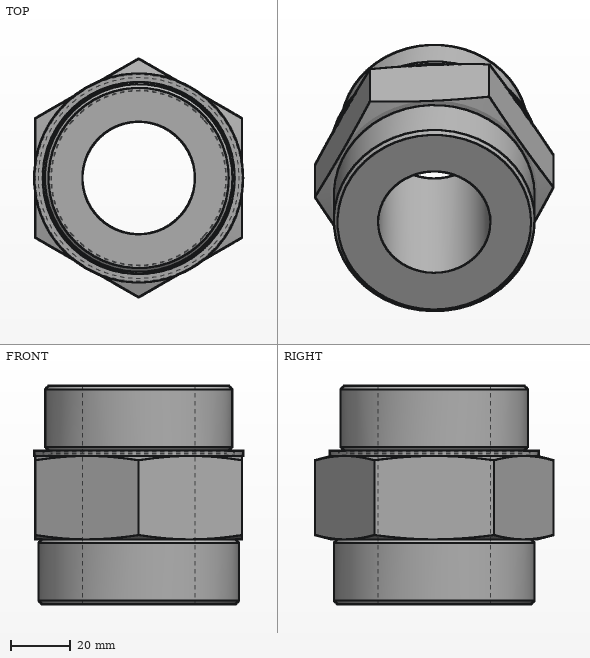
import cadquery as cq
import math

FULL_TURN = 360.0

TOTAL_HEIGHT = 74.0
HEX_BOTTOM = 22.0
COLLAR_BOTTOM = 50.2
COLLAR_TOP = 52.0

BORE_DIAMETER = 38.0
LOWER_DIAMETER = 68.0
UPPER_DIAMETER = 63.5
COLLAR_DIAMETER = 70.8
HEX_ACROSS_FLATS = 70.0
HEX_SIDES = 6

LOWER_CHAMFER = 1.25
UPPER_CHAMFER = 1.25

HEX_CHAMFER_ANGLE = 15.0

SEAL_OUTER_DIAMETER = 65.0
NECK_DIAMETER = 59.0
NECK_TAPER_CLEARANCE = 1.3
NECK_TAPER_TOP = COLLAR_TOP + NECK_TAPER_CLEARANCE


def make_upper_end():
    """Upper end with a chamfered rim and a tapered neck running into the seal groove."""
    radius = UPPER_DIAMETER / 2
    neck_radius = NECK_DIAMETER / 2
    neck_taper = radius - neck_radius
    profile = [
        (0, HEX_BOTTOM),
        (neck_radius, HEX_BOTTOM),
        (neck_radius, NECK_TAPER_TOP - neck_taper),
        (radius, NECK_TAPER_TOP),
        (radius, TOTAL_HEIGHT - UPPER_CHAMFER),
        (radius - UPPER_CHAMFER, TOTAL_HEIGHT),
        (0, TOTAL_HEIGHT),
    ]
    return cq.Workplane("XZ").polyline(profile).close().revolve(FULL_TURN, (0, 0), (0, 1))


def make_lower_end():
    """Lower end, chamfered at its free rim and where it meets the hexagon."""
    end = cq.Workplane("XY").circle(LOWER_DIAMETER / 2).extrude(HEX_BOTTOM)
    return end.edges("%CIRCLE").chamfer(LOWER_CHAMFER)


def make_hexagon():
    """Hexagon with flats facing +X and -X and its corners turned off at both ends."""
    corner_diameter = HEX_ACROSS_FLATS / math.cos(math.pi / HEX_SIDES)
    flat_radius = HEX_ACROSS_FLATS / 2
    cone_radius = corner_diameter / 2
    drop = (cone_radius - flat_radius) * math.tan(math.radians(HEX_CHAMFER_ANGLE))
    prism = (
        cq.Workplane("XY", origin=(0, 0, HEX_BOTTOM))
        .polygon(HEX_SIDES, corner_diameter)
        .extrude(COLLAR_BOTTOM - HEX_BOTTOM)
        .rotate((0, 0, 0), (0, 0, 1), FULL_TURN / HEX_SIDES / 2)
    )
    turned_profile = [
        (0, HEX_BOTTOM),
        (flat_radius, HEX_BOTTOM),
        (cone_radius, HEX_BOTTOM + drop),
        (cone_radius, COLLAR_BOTTOM - drop),
        (flat_radius, COLLAR_BOTTOM),
        (0, COLLAR_BOTTOM),
    ]
    envelope = cq.Workplane("XZ").polyline(turned_profile).close().revolve(FULL_TURN, (0, 0), (0, 1))
    return prism.intersect(envelope)


def make_collar():
    """Thin round collar on top of the hexagon."""
    collar = cq.Workplane("XY", origin=(0, 0, COLLAR_BOTTOM)).circle(COLLAR_DIAMETER / 2)
    return collar.extrude(COLLAR_TOP - COLLAR_BOTTOM)


def make_seal_groove():
    """Open space in the collar above the rounded seal ring, between the ring and the outer wall."""
    neck_radius = NECK_DIAMETER / 2
    outer_radius = SEAL_OUTER_DIAMETER / 2
    ring_radius = (outer_radius - neck_radius) / 2
    ring_center_height = COLLAR_TOP - ring_radius
    pocket = (
        cq.Workplane("XY", origin=(0, 0, ring_center_height))
        .circle(outer_radius)
        .circle(neck_radius)
        .extrude(ring_radius)
    )
    ring = cq.Workplane(
        cq.Solid.makeTorus(
            neck_radius + ring_radius,
            ring_radius,
            cq.Vector(0, 0, ring_center_height),
            cq.Vector(0, 0, 1),
        )
    )
    return pocket.cut(ring)


hexagon_and_collar = make_hexagon().union(make_collar()).cut(make_seal_groove())
body = hexagon_and_collar.union(make_upper_end()).union(make_lower_end())
bore = cq.Workplane("XY").circle(BORE_DIAMETER / 2).extrude(TOTAL_HEIGHT)
result = body.cut(bore)